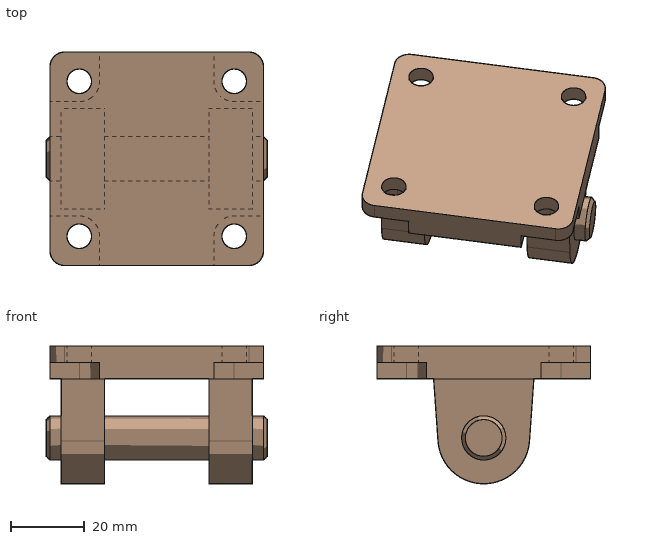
import cadquery as cq
import math

plate_side = 58.0
plate_corner_radius = 4.0
layer_thickness = 4.5
plate_thickness = 2 * layer_thickness

hole_inset = 8.0
hole_diameter = 6.6
relief_radius = 5.5
hole_offset = plate_side / 2 - hole_inset
relief_reach = hole_inset + relief_radius

total_height = 37.5
lug_radius = 12.5
lug_thickness = 11.8
lug_outer_x = 26.0
lug_taper = math.radians(4)
pin_drop = total_height - lug_radius

pin_length = 60.0
pin_diameter = 12.0
pin_chamfer = 1.0


def make_plate():
    """Rounded square plate with its top face at Z = 0 and four bolt holes."""
    plate = cq.Workplane("XY").rect(plate_side, plate_side).extrude(-plate_thickness)
    plate = plate.edges("|Z").fillet(plate_corner_radius)
    for x_side in (-1, 1):
        for y_side in (-1, 1):
            plate = plate.cut(make_corner_relief(x_side, y_side))
    holes = (
        cq.Workplane("XY")
        .rect(2 * hole_offset, 2 * hole_offset, forConstruction=True)
        .vertices()
        .circle(hole_diameter / 2)
        .extrude(-plate_thickness)
    )
    return plate.cut(holes)


def make_corner_relief(x_side, y_side):
    """Lower-half corner cutter whose inner corner is concentric with the bolt hole."""
    block_side = 2 * relief_reach
    return (
        cq.Workplane("XY", origin=(0, 0, -plate_thickness))
        .center(x_side * plate_side / 2, y_side * plate_side / 2)
        .rect(block_side, block_side)
        .extrude(layer_thickness)
        .edges("|Z")
        .fillet(relief_radius)
    )


def make_lug(start_x):
    """Lug with tapered sides running tangent into its round lower end."""
    top_z = -layer_thickness
    height_above_pin = pin_drop + top_z
    top_half_width = (
        lug_radius + height_above_pin * math.sin(lug_taper)
    ) / math.cos(lug_taper)
    tangent_y = lug_radius * math.cos(lug_taper)
    tangent_z = -pin_drop - lug_radius * math.sin(lug_taper)
    return (
        cq.Workplane("YZ", origin=(start_x, 0, 0))
        .moveTo(-top_half_width, top_z)
        .lineTo(-tangent_y, tangent_z)
        .threePointArc((0, -total_height), (tangent_y, tangent_z))
        .lineTo(top_half_width, top_z)
        .close()
        .extrude(lug_thickness)
    )


def make_pin():
    """Round pin along X with chamfered ends."""
    return (
        cq.Workplane("YZ", origin=(-pin_length / 2, 0, -pin_drop))
        .circle(pin_diameter / 2)
        .extrude(pin_length)
        .faces("<X or >X")
        .chamfer(pin_chamfer)
    )


result = make_plate().union(make_pin())
for lug_start_x in (-lug_outer_x, lug_outer_x - lug_thickness):
    result = result.union(make_lug(lug_start_x))